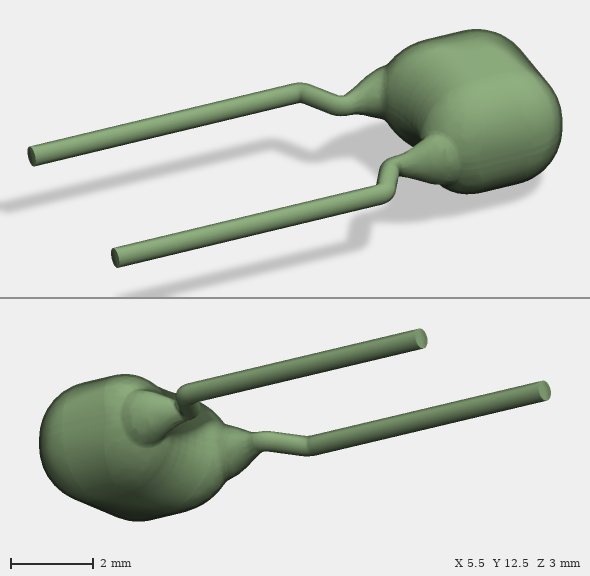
import cadquery as cq
import math

TOTAL_LENGTH = 12.5
BODY_WIDTH = 4.5
BODY_HEIGHT = 3.0
BODY_LENGTH = 3.5
BODY_ROUND = 1.4
FRONT_ARC_RADIUS = 2.5
FRONT_CORNER_ROUND = 1.0

LEAD_RADIUS = 0.25
TIP_SPACING = 5.0
ROOT_SPACING = 3.0
STRAIGHT_LENGTH = 7.0
BEND_RADIUS = 0.3
BEND_ANGLE = math.radians(60)

TIP_X = TIP_SPACING / 2
ROOT_X = ROOT_SPACING / 2
BEND_DX = BEND_RADIUS * (1 - math.cos(BEND_ANGLE))
BEND_DY = BEND_RADIUS * math.sin(BEND_ANGLE)
SLANT_DX = TIP_X - ROOT_X - 2 * BEND_DX
SLANT_DY = SLANT_DX / math.tan(BEND_ANGLE)
ROOT_Y = STRAIGHT_LENGTH + 2 * BEND_DY + SLANT_DY

COLLAR_FILLET = 0.19
SEAM_BOX_X = (1.0, 2.19)
SEAM_BOX_Y = (8.75, 9.38)
SEAM_BOX_HALF_HEIGHT = 0.75

COLLAR_SECTIONS = [
    (0.0, ROOT_X - LEAD_RADIUS, ROOT_X + LEAD_RADIUS, LEAD_RADIUS),
    (0.5, 1.21, 1.99, 0.44),
    (1.0, 1.08, 2.16, 0.66),
    (1.5, 1.12, 2.15, 0.69),
]


def make_shell():
    """Pillow-shaped block with a concave front, rounded all over."""
    half_width = BODY_WIDTH / 2
    front_y = TOTAL_LENGTH - BODY_LENGTH
    sag = FRONT_ARC_RADIUS - math.sqrt(FRONT_ARC_RADIUS**2 - half_width**2)
    corner_y = front_y - sag
    block = (
        cq.Workplane("XY")
        .workplane(offset=-BODY_HEIGHT / 2)
        .moveTo(-half_width, TOTAL_LENGTH)
        .lineTo(-half_width, corner_y)
        .threePointArc((0, front_y), (half_width, corner_y))
        .lineTo(half_width, TOTAL_LENGTH)
        .close()
        .extrude(BODY_HEIGHT)
    )
    block = block.edges("|Z and >Y").fillet(BODY_ROUND)
    block = block.edges("|Z").edges("<Y").fillet(FRONT_CORNER_ROUND)
    return block.faces("|Z").edges().fillet(BODY_ROUND)


def make_collar(side):
    """Flared collar where a lead leaves the body; side is -1 or 1."""
    sections = []
    for distance, inner_x, outer_x, half_height in COLLAR_SECTIONS:
        center = cq.Vector(side * (inner_x + outer_x) / 2, ROOT_Y + distance, 0)
        half_width = (outer_x - inner_x) / 2
        plane = cq.Plane(origin=center, xDir=(0, 0, 1), normal=(0, 1, 0))
        if half_height > half_width:
            outline = cq.Workplane(plane).ellipse(half_height, half_width)
        else:
            outline = cq.Workplane(plane).circle(half_width)
        sections.append(outline.wires().val())
    return cq.Workplane(cq.Solid.makeLoft(sections))


def seam_selector(side):
    """Selects only the edges where one collar meets the shell."""
    corner = (side * SEAM_BOX_X[0], SEAM_BOX_Y[0], -SEAM_BOX_HALF_HEIGHT)
    opposite_corner = (side * SEAM_BOX_X[1], SEAM_BOX_Y[1], SEAM_BOX_HALF_HEIGHT)
    return cq.selectors.BoxSelector(corner, opposite_corner, boundingbox=True)


def make_body():
    """Dipped body: the shell and its two collars as one solid."""
    body = make_shell()
    for side in (-1, 1):
        body = body.union(make_collar(side))
    for side in (-1, 1):
        body = body.edges(seam_selector(side)).fillet(COLLAR_FILLET)
    return body.solids()


def make_lead(side):
    """Round wire with two opposite bends; side is -1 or 1."""
    mid_dx = BEND_RADIUS * (1 - math.cos(BEND_ANGLE / 2))
    mid_dy = BEND_RADIUS * math.sin(BEND_ANGLE / 2)
    path = (
        cq.Workplane("XY")
        .moveTo(side * TIP_X, 0)
        .lineTo(side * TIP_X, STRAIGHT_LENGTH)
        .threePointArc(
            (side * (TIP_X - mid_dx), STRAIGHT_LENGTH + mid_dy),
            (side * (TIP_X - BEND_DX), STRAIGHT_LENGTH + BEND_DY),
        )
        .lineTo(side * (ROOT_X + BEND_DX), ROOT_Y - BEND_DY)
        .threePointArc(
            (side * (ROOT_X + mid_dx), ROOT_Y - mid_dy),
            (side * ROOT_X, ROOT_Y),
        )
    )
    section = cq.Workplane("XZ").center(side * TIP_X, 0).circle(LEAD_RADIUS)
    return section.sweep(path)


body = make_body()
leads = [make_lead(side) for side in (-1, 1)]

result = cq.Compound.makeCompound([body.val(), *[lead.val() for lead in leads]])